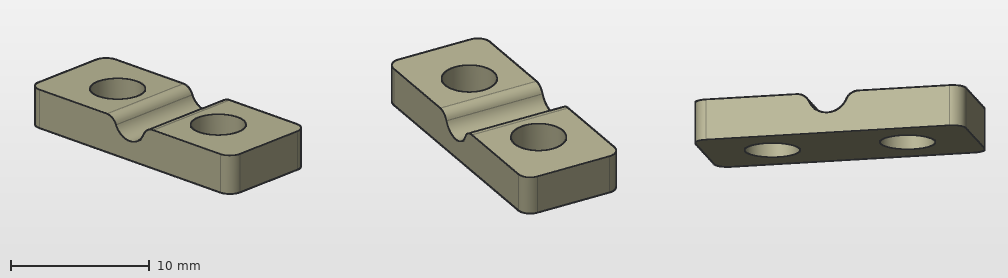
import cadquery as cq

length = 20
width = 8
height = 3
corner_radius = 1

hole_diameter = 4
hole_spacing = length / 2

groove_radius = 1.5
lip_radius = 1


def make_plate():
    """Plate with rounded vertical corners, resting on Z = 0."""
    plate = cq.Workplane("XY").box(length, width, height, centered=(True, True, False))
    return plate.edges("|Z").fillet(corner_radius)


def cut_groove(body):
    """Cut the groove along Y, centred on the top face, and round its lips."""
    cutter = (
        cq.Workplane("XZ", origin=(0, 0, height))
        .circle(groove_radius)
        .extrude(width, both=True)
    )
    grooved = body.cut(cutter)
    lips = grooved.faces(">Z").edges("|Y exc (>X or <X)")
    return lips.fillet(lip_radius)


def cut_holes(body):
    """Cut the two holes right through the plate."""
    return (
        body.faces("<Z")
        .workplane()
        .rarray(hole_spacing, width, 2, 1)
        .hole(hole_diameter)
    )


result = cut_holes(cut_groove(make_plate()))